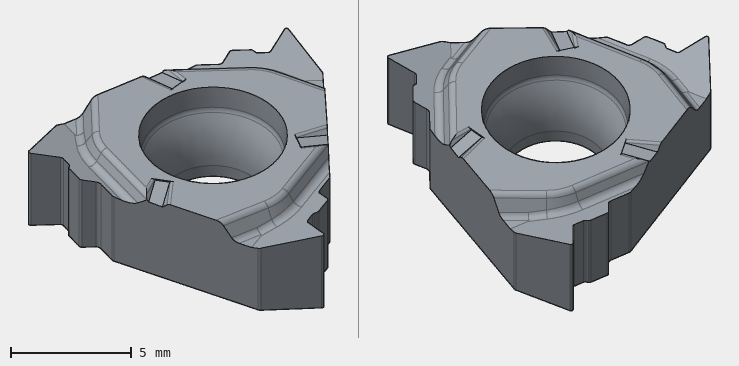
import cadquery as cq
import math

LOBE_COUNT = 3
LOBE_STEP = 360 / LOBE_COUNT
SIDE_SLOPE = LOBE_STEP - 90
HEIGHT = 4.11
SIDE_DISTANCE = 4.7625
BEYOND = 1.0

OUTER_FLANK_ANGLE = 31
INNER_FLANK_ANGLE = 30
TIP_RADIUS = 0.1
TIP_X = -3.345
TIP_Y = -7.016
ROOT_Y = -5.745
CREST_Y = -5.902
CREST_START_X = -1.886
CREST_END_X = -0.976
SHOULDER_Y = -5.227
SMALL_CORNER_RADIUS = 0.14
LARGE_CORNER_RADIUS = 0.23

TIP_DROP = 0.15
RAKE_ANGLE = 14
FLOOR_DROP = 0.83
WALL_EDGE_Y = -4.32
WALL_TAPER = 33
WALL_BEND_X = -1.69
WALL_BEND_ANGLE = 31
WALL_BEND_RADIUS = 2.25
WALL_TOP_RADIUS = 0.36
WALL_FOOT_RADIUS = 0.36
WALL_LENGTH = 1.8
POCKET_MIN_X = -SIDE_DISTANCE - BEYOND
POCKET_MAX_X = 4.0
POCKET_BACK_Y = -1.5

GROOVE_START = (1.283, -3.304)
GROOVE_DIRECTION = -45
GROOVE_WIDTH = 0.62
GROOVE_SLOPE = 8
GROOVE_START_DROP = 0.07
GROOVE_LENGTH = 2.5
GROOVE_SIDE_RISE = 0.6
GROOVE_EDGE_MIDDLE = 0.65
GROOVE_EDGE_RADIUS = 0.2

BORE_RADIUS = 4.4 / 2
BORE_LENGTH = 0.59
SEAT_RADIUS = 4.0
SEAT_SWEEP = 34.8
RECESS_FILLET = 0.45
RECESS_TAPER = 5


def cos_deg(angle):
    return math.cos(math.radians(angle))


def sin_deg(angle):
    return math.sin(math.radians(angle))


def tan_deg(angle):
    return math.tan(math.radians(angle))


def rotated(point, angle):
    x, y = point
    return (
        x * cos_deg(angle) - y * sin_deg(angle),
        x * sin_deg(angle) + y * cos_deg(angle),
    )


def lobe_corners():
    """Sharp corners of one lobe, each with the radius that rounds it."""
    inner_flank_run = tan_deg(INNER_FLANK_ANGLE)
    side_y = TIP_Y + (TIP_X + SIDE_DISTANCE) / tan_deg(OUTER_FLANK_ANGLE)
    root_start_x = TIP_X + (ROOT_Y - TIP_Y) * inner_flank_run
    root_end_x = CREST_START_X - (ROOT_Y - CREST_Y)
    shoulder_start_x = CREST_END_X + (SHOULDER_Y - CREST_Y) * inner_flank_run
    shoulder_end_x = (SIDE_DISTANCE + SHOULDER_Y * cos_deg(SIDE_SLOPE)) / sin_deg(SIDE_SLOPE)
    return [
        ((-SIDE_DISTANCE, side_y), LARGE_CORNER_RADIUS),
        ((TIP_X, TIP_Y), TIP_RADIUS),
        ((root_start_x, ROOT_Y), SMALL_CORNER_RADIUS),
        ((root_end_x, ROOT_Y), SMALL_CORNER_RADIUS),
        ((CREST_START_X, CREST_Y), SMALL_CORNER_RADIUS),
        ((CREST_END_X, CREST_Y), SMALL_CORNER_RADIUS),
        ((shoulder_start_x, SHOULDER_Y), LARGE_CORNER_RADIUS),
        ((shoulder_end_x, SHOULDER_Y), LARGE_CORNER_RADIUS),
    ]


def make_body():
    corners = [
        (rotated(point, lobe * LOBE_STEP), radius)
        for lobe in range(LOBE_COUNT)
        for point, radius in lobe_corners()
    ]
    body = cq.Workplane("XY").polyline([point for point, _ in corners]).close().extrude(HEIGHT)
    for radius in (TIP_RADIUS, SMALL_CORNER_RADIUS, LARGE_CORNER_RADIUS):
        for point, corner_radius in corners:
            if corner_radius == radius:
                edge_middle = (point[0], point[1], HEIGHT / 2)
                body = body.edges(cq.selectors.NearestToPointSelector(edge_middle)).fillet(radius)
    return body


def make_wall_clearance():
    """Everything in front of the pocket wall, with the rounded upper edge of the wall."""
    wall_lean = cq.Vector(-sin_deg(WALL_TAPER), -cos_deg(WALL_TAPER))
    half_turn = (90 - WALL_TAPER) / 2
    tangent_length = WALL_TOP_RADIUS * tan_deg(half_turn)
    round_start_y = WALL_EDGE_Y + tangent_length
    wall_start = cq.Vector(WALL_EDGE_Y, HEIGHT) + wall_lean * tangent_length
    wall_end = cq.Vector(WALL_EDGE_Y, HEIGHT) + wall_lean * WALL_LENGTH
    round_middle = (
        round_start_y - WALL_TOP_RADIUS * sin_deg(half_turn),
        HEIGHT - WALL_TOP_RADIUS * (1 - cos_deg(half_turn)),
    )
    front_y = TIP_Y - 2 * BEYOND
    top_z = HEIGHT + BEYOND
    profile = (
        cq.Workplane("YZ", origin=(POCKET_MAX_X, 0, 0))
        .moveTo(round_start_y, top_z)
        .lineTo(round_start_y, HEIGHT)
        .threePointArc(round_middle, (wall_start.x, wall_start.y))
        .lineTo(wall_end.x, wall_end.y)
        .lineTo(front_y, wall_end.y)
        .lineTo(front_y, top_z)
        .close()
    )
    arc_centre_y = WALL_EDGE_Y + WALL_BEND_RADIUS

    def on_bend(angle):
        return (
            WALL_BEND_X - WALL_BEND_RADIUS * sin_deg(angle),
            arc_centre_y - WALL_BEND_RADIUS * cos_deg(angle),
        )

    bend_end = on_bend(WALL_BEND_ANGLE)
    left_y = bend_end[1] + (bend_end[0] - POCKET_MIN_X) * tan_deg(WALL_BEND_ANGLE)
    path = (
        cq.Workplane("XY", origin=(0, 0, HEIGHT))
        .moveTo(POCKET_MAX_X, WALL_EDGE_Y)
        .lineTo(WALL_BEND_X, WALL_EDGE_Y)
        .threePointArc(on_bend(WALL_BEND_ANGLE / 2), bend_end)
        .lineTo(POCKET_MIN_X, left_y)
    )
    return profile.sweep(path)


def make_floored_clearance(floor_angle, tip_drop):
    """Wall clearance above a floor falling inward, with the foot of the wall rounded.

    The floor lies tip_drop below the top face at the sharp tip.
    """
    floor_fall = tan_deg(floor_angle)
    front_y = TIP_Y - BEYOND
    front_z = HEIGHT - tip_drop + BEYOND * floor_fall
    back_z = front_z - (POCKET_BACK_Y - front_y) * floor_fall
    top_z = HEIGHT + BEYOND
    above_floor = (
        cq.Workplane("YZ", origin=(POCKET_MIN_X, 0, 0))
        .polyline([
            (front_y, top_z),
            (front_y, front_z),
            (POCKET_BACK_Y, back_z),
            (POCKET_BACK_Y, top_z),
        ])
        .close()
        .extrude(POCKET_MAX_X - POCKET_MIN_X)
    )
    wall_run = tan_deg(WALL_TAPER)
    drop_under_edge = tip_drop + (WALL_EDGE_Y - TIP_Y) * floor_fall
    foot_drop = drop_under_edge / (1 + wall_run * floor_fall)
    foot_middle = (
        (WALL_BEND_X + POCKET_MAX_X) / 2,
        WALL_EDGE_Y - foot_drop * wall_run,
        HEIGHT - foot_drop,
    )
    clearance = above_floor.intersect(make_wall_clearance())
    return clearance.edges(cq.selectors.NearestToPointSelector(foot_middle)).fillet(WALL_FOOT_RADIUS)


def make_pocket():
    """Sloping rake floor that levels out at the deepest part of the pocket."""
    rake_part = make_floored_clearance(RAKE_ANGLE, TIP_DROP)
    level_part = make_floored_clearance(0, FLOOR_DROP)
    return rake_part.intersect(level_part)


def make_groove():
    """Ramp that starts just below the top face, drops outward and has 45 degree sides."""
    direction = cq.Vector(
        cos_deg(GROOVE_DIRECTION) * cos_deg(GROOVE_SLOPE),
        sin_deg(GROOVE_DIRECTION) * cos_deg(GROOVE_SLOPE),
        -sin_deg(GROOVE_SLOPE),
    )
    across = cq.Vector(-sin_deg(GROOVE_DIRECTION), cos_deg(GROOVE_DIRECTION), 0)
    section = cq.Plane(origin=(*GROOVE_START, HEIGHT - GROOVE_START_DROP), xDir=across, normal=direction)
    floor_half = GROOVE_WIDTH / 2
    top_half = floor_half + GROOVE_SIDE_RISE
    return (
        cq.Workplane(section)
        .polyline([
            (-floor_half, 0),
            (floor_half, 0),
            (top_half, GROOVE_SIDE_RISE),
            (-top_half, GROOVE_SIDE_RISE),
        ])
        .close()
        .extrude(GROOVE_LENGTH)
    )


def round_groove_edges(insert, angle):
    """Round the two long edges where a groove breaks through the top face."""
    half_width = GROOVE_WIDTH / 2 + GROOVE_START_DROP + GROOVE_EDGE_MIDDLE * tan_deg(GROOVE_SLOPE)
    for side in (-1, 1):
        along = rotated((GROOVE_EDGE_MIDDLE, side * half_width), GROOVE_DIRECTION)
        middle = rotated((GROOVE_START[0] + along[0], GROOVE_START[1] + along[1]), angle)
        selector = cq.selectors.NearestToPointSelector((*middle, HEIGHT))
        insert = insert.edges(selector).fillet(GROOVE_EDGE_RADIUS)
    return insert


def make_screw_hole():
    def on_seat(angle):
        return (
            BORE_RADIUS + SEAT_RADIUS * (1 - cos_deg(angle)),
            BORE_LENGTH + SEAT_RADIUS * sin_deg(angle),
        )

    seat_end = on_seat(SEAT_SWEEP)
    fillet_centre = (
        seat_end[0] - RECESS_FILLET * cos_deg(SEAT_SWEEP),
        seat_end[1] + RECESS_FILLET * sin_deg(SEAT_SWEEP),
    )

    def on_fillet(angle):
        return (
            fillet_centre[0] + RECESS_FILLET * cos_deg(angle),
            fillet_centre[1] - RECESS_FILLET * sin_deg(angle),
        )

    recess_start = on_fillet(RECESS_TAPER)
    rim_radius = recess_start[0] + (HEIGHT - recess_start[1]) * tan_deg(RECESS_TAPER)
    return (
        cq.Workplane("XZ")
        .moveTo(0, 0)
        .lineTo(BORE_RADIUS, 0)
        .lineTo(BORE_RADIUS, BORE_LENGTH)
        .threePointArc(on_seat(SEAT_SWEEP / 2), seat_end)
        .threePointArc(on_fillet((SEAT_SWEEP + RECESS_TAPER) / 2), recess_start)
        .lineTo(rim_radius, HEIGHT)
        .lineTo(0, HEIGHT)
        .close()
        .revolve(360, (0, 0, 0), (0, 1, 0))
    )


def make_insert():
    insert = make_body().cut(make_screw_hole())
    groove = make_groove()
    pocket = make_pocket()
    for lobe in range(LOBE_COUNT):
        angle = lobe * LOBE_STEP
        insert = insert.cut(groove.rotate((0, 0, 0), (0, 0, 1), angle))
        insert = round_groove_edges(insert, angle)
        insert = insert.cut(pocket.rotate((0, 0, 0), (0, 0, 1), angle))
    return insert


result = make_insert()